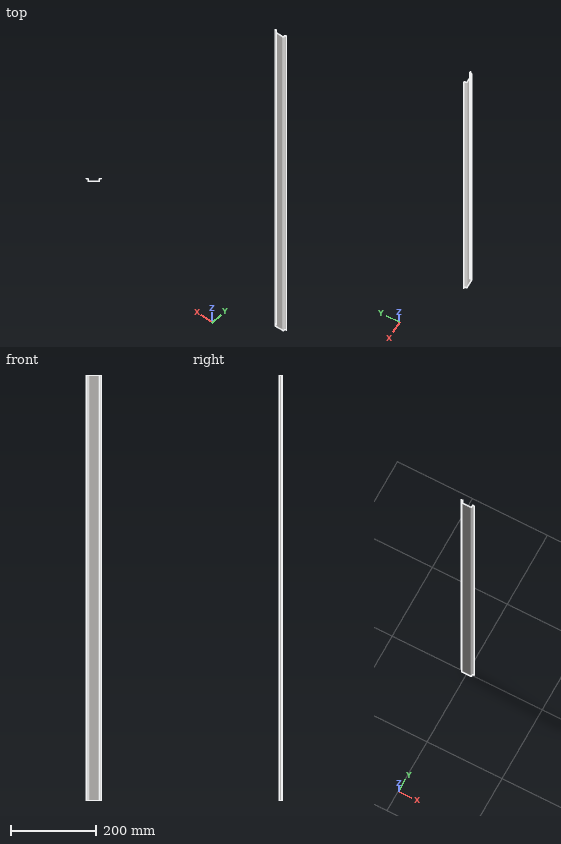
import math

import cadquery as cq

rail_width = 35.3
rail_height = 7.5
rail_length = 1000.0

sheet_thickness = 1.0
channel_width = 27.0
inner_bend_radius = 0.8
lip_droop = math.radians(10)

outer_bend_radius = inner_bend_radius + sheet_thickness
half_width = rail_width / 2
outer_wall_x = channel_width / 2
inner_wall_x = outer_wall_x - sheet_thickness

lip_bend_x = inner_wall_x + outer_bend_radius
lip_bend_y = rail_height - outer_bend_radius


def lip_y(x, radius):
    """Height at x of the sloped lip face that is tangent to the lip bend of this radius."""
    return lip_bend_y + radius / math.cos(lip_droop) - (x - lip_bend_x) * math.tan(lip_droop)


def hat_outline():
    """Sharp-cornered cross-section: web at Y = 0, drooping lips at the rail height."""
    tip_front_x = half_width - sheet_thickness * math.sin(lip_droop)
    right_half = [
        (outer_wall_x, 0),
        (outer_wall_x, lip_y(outer_wall_x, inner_bend_radius)),
        (tip_front_x, lip_y(tip_front_x, inner_bend_radius)),
        (half_width, lip_y(half_width, outer_bend_radius)),
        (inner_wall_x, lip_y(inner_wall_x, outer_bend_radius)),
        (inner_wall_x, sheet_thickness),
    ]
    left_half = [(-x, y) for x, y in reversed(right_half)]
    return right_half + left_half


def round_bends(rail):
    """Concentric inner and outer radii at the four bends of the sheet."""
    bends = [
        (outer_wall_x, 0, outer_bend_radius),
        (inner_wall_x, sheet_thickness, inner_bend_radius),
        (outer_wall_x, lip_y(outer_wall_x, inner_bend_radius), inner_bend_radius),
        (inner_wall_x, lip_y(inner_wall_x, outer_bend_radius), outer_bend_radius),
    ]
    mid_length = rail_length / 2
    for x, y, radius in bends:
        for side in (-1, 1):
            corner = cq.selectors.NearestToPointSelector((side * x, y, mid_length))
            rail = rail.edges("|Z").edges(corner).fillet(radius)
    return rail


rail = cq.Workplane("XY").polyline(hat_outline()).close().extrude(rail_length)
result = round_bends(rail)